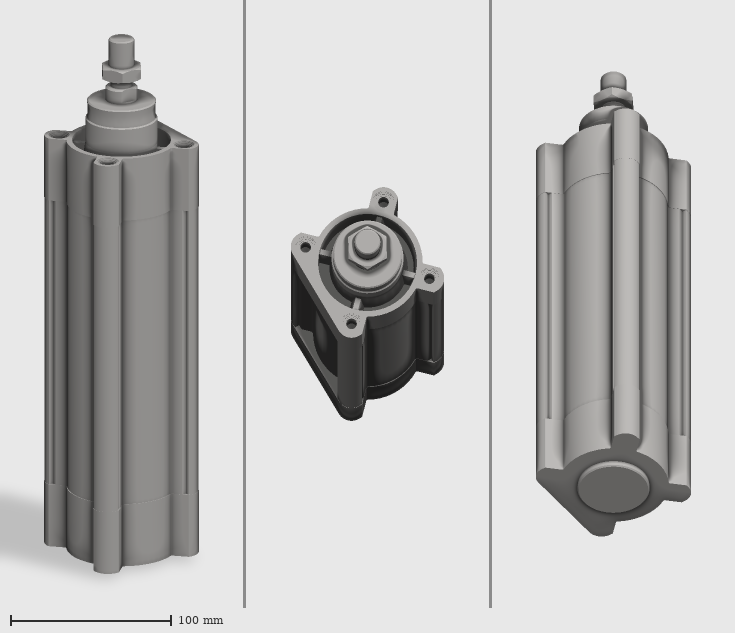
import cadquery as cq
import math

SPIGOT_HEIGHT = 4.0
OVERALL_HEIGHT = 343.1
ROD_TOP = OVERALL_HEIGHT - SPIGOT_HEIGHT
ROD_REACH = 67.6
HOUSING_TOP = ROD_TOP - ROD_REACH
CAP_HEIGHT = 41.2

WIDTH = 75.0
SCREW_SPACING = 56.5
SCREW_POS = SCREW_SPACING / 2
HALF_WIDTH = WIDTH / 2
LOBE_RADIUS = HALF_WIDTH - SCREW_POS
LOBE_HALF_WIDTH = 8.1
LOBE_EDGE_FILLET = 0.8
BARREL_INSET = 0.15
CAP_DIAMETER = 69.0
BARREL_DIAMETER = 68.0
CAP_NOTCH_FILLET = 1.0
BARREL_NOTCH_FILLET = 2.0
LEDGE_START = 26.0
LEDGE_DISTANCE = 34.3

COLLAR_DIAMETER = 45.0
COLLAR_HEIGHT = 14.8
NECK_DIAMETER = 43.2
NECK_WAIST = 0.45
NECK_TOP = 27.0
COLLAR_CHAMFER = 0.8

RECESS_DEPTH = 18.0
RECESS_TOP_RADIUS = 30.9
RECESS_FLOOR_RADIUS = 28.9
COLLAR_ROOT_RADIUS = 25.2
COLLAR_TAPER_START = 1.0
PORT_FLOOR_RADIUS = 30.3
PORT_ROOT_RADIUS = 23.8
RIB_TOP_DEPTH = 3.5
RIB_TOP_WIDTH = 3.4
RIB_ROOT_WIDTH = 8.5

SCREW_STEPS = ((13.2, 0.5), (12.0, 1.0), (10.0, 1.5), (8.0, 2.0), (6.65, 18.0))
DRILL_POINT_ANGLE = 118.0

ROD_DIAMETER = 20.0
THREAD_DIAMETER = 16.0
ROD_TIP_DIAMETER = 14.38
RUNOUT_DIAMETER = 14.95
UNDERCUT_DIAMETER = 13.9
THREAD_LENGTH = 26.4
RUNOUT_END = 27.0
UNDERCUT_START = 29.4
SHOULDER_DEPTH = 31.4
SHOULDER_CHAMFER = 1.0
FLATS_WIDTH = 17.0
FLATS_LENGTH = 8.3
ROD_INSERTION = CAP_HEIGHT

NUT_WIDTH = 24.0
NUT_HEIGHT = 8.0
NUT_TOP_DEPTH = 17.9
NUT_CHAMFER_ANGLE = 30.0
HEXAGON_HALF_ANGLE = 30.0


def cylinder(radius, bottom, top):
    return cq.Workplane("XY").workplane(offset=bottom).circle(radius).extrude(top - bottom)


def revolved(points):
    """Revolve a closed (radius, height) outline about the Z axis."""
    return cq.Workplane("XZ").polyline(points).close().revolve(360, (0, 0, 0), (0, 1, 0))


def cap_lobe(height):
    """Corner lobe of an end cap toward (+X, +Y), its sides parallel to the diagonal."""
    side_shift = LOBE_HALF_WIDTH * math.sqrt(2)
    arc_middle = SCREW_POS + LOBE_RADIUS / math.sqrt(2)
    edge = HALF_WIDTH - side_shift
    lobe = (
        cq.Workplane("XY")
        .lineTo(side_shift, 0)
        .lineTo(HALF_WIDTH, edge)
        .lineTo(HALF_WIDTH, SCREW_POS)
        .threePointArc((arc_middle, arc_middle), (SCREW_POS, HALF_WIDTH))
        .lineTo(edge, HALF_WIDTH)
        .lineTo(0, side_shift)
        .close().extrude(height)
    )
    for x, y in ((HALF_WIDTH, edge), (edge, HALF_WIDTH)):
        side_edge = cq.selectors.NearestToPointSelector((x, y, height / 2))
        lobe = lobe.edges(side_edge).fillet(LOBE_EDGE_FILLET)
    return lobe


def barrel_lobe(height):
    """Corner lobe of the barrel toward (+X, +Y), stepped in at both ends of its arc."""
    radius = LOBE_RADIUS - BARREL_INSET
    side_shift = (LOBE_HALF_WIDTH - BARREL_INSET) * math.sqrt(2)
    arc_middle = SCREW_POS + radius / math.sqrt(2)
    arc_end = SCREW_POS + math.sqrt(radius**2 - (SCREW_POS - LEDGE_START) ** 2)
    edge = LEDGE_DISTANCE - side_shift
    return (
        cq.Workplane("XY")
        .lineTo(side_shift, 0)
        .lineTo(LEDGE_DISTANCE, edge)
        .lineTo(LEDGE_DISTANCE, LEDGE_START)
        .lineTo(arc_end, LEDGE_START)
        .threePointArc((arc_middle, arc_middle), (LEDGE_START, arc_end))
        .lineTo(LEDGE_START, LEDGE_DISTANCE)
        .lineTo(edge, LEDGE_DISTANCE)
        .lineTo(0, side_shift)
        .close().extrude(height)
    )


def lobed_body(lobe, diameter, half_width, notch_fillet, height):
    """A round core with a lobe on each diagonal, filleted in the notches between them."""
    body = cylinder(diameter / 2, 0, height)
    for quarter in range(4):
        body = body.union(lobe.rotate((0, 0, 0), (0, 0, 1), 90 * quarter))
    spread = math.degrees(math.asin(half_width / (diameter / 2)))
    for quarter in range(4):
        for side in (-1, 1):
            angle = math.radians(45 + 90 * quarter + side * spread)
            notch = (diameter / 2 * math.cos(angle), diameter / 2 * math.sin(angle), height / 2)
            body = body.edges(cq.selectors.NearestToPointSelector(notch)).fillet(notch_fillet)
    return body


def make_barrel():
    height = HOUSING_TOP - 2 * CAP_HEIGHT
    half_width = LOBE_HALF_WIDTH - BARREL_INSET
    barrel = lobed_body(barrel_lobe(height), BARREL_DIAMETER, half_width, BARREL_NOTCH_FILLET, height)
    return barrel.translate((0, 0, CAP_HEIGHT))


def end_cap(bottom):
    """End cap with the +Y side filled out flat between its lobes."""
    cap = lobed_body(cap_lobe(CAP_HEIGHT), CAP_DIAMETER, LOBE_HALF_WIDTH, CAP_NOTCH_FILLET, CAP_HEIGHT)
    flat_side = (
        cq.Workplane("XY")
        .polyline([(0, 0), (SCREW_POS, SCREW_POS), (SCREW_POS, HALF_WIDTH),
                   (-SCREW_POS, HALF_WIDTH), (-SCREW_POS, SCREW_POS)])
        .close().extrude(CAP_HEIGHT)
    )
    return cap.union(flat_side).translate((0, 0, bottom))


def tapered_ring(floor_radius, root_radius):
    """Ring around the collar whose walls lean toward each other down to the recess floor."""
    floor = HOUSING_TOP - RECESS_DEPTH
    collar_radius = COLLAR_DIAMETER / 2
    return revolved([
        (collar_radius, HOUSING_TOP), (RECESS_TOP_RADIUS, HOUSING_TOP),
        (floor_radius, floor), (root_radius, floor),
        (collar_radius, HOUSING_TOP - COLLAR_TAPER_START),
    ])


def recess():
    """Material to remove around the collar, leaving four ribs on the diagonals."""
    floor = HOUSING_TOP - RECESS_DEPTH
    rib_top = HOUSING_TOP - RIB_TOP_DEPTH
    port_quarter = (
        cq.Workplane("XY").workplane(offset=floor)
        .polyline([(0, 0), (HALF_WIDTH, HALF_WIDTH), (-HALF_WIDTH, HALF_WIDTH)])
        .close().extrude(RECESS_DEPTH)
    )
    port = tapered_ring(PORT_FLOOR_RADIUS, PORT_ROOT_RADIUS).intersect(port_quarter)
    ring = tapered_ring(RECESS_FLOOR_RADIUS, COLLAR_ROOT_RADIUS).union(port)
    rib = (
        cq.Workplane("XZ")
        .polyline([
            (-RIB_ROOT_WIDTH / 2, floor), (RIB_ROOT_WIDTH / 2, floor),
            (RIB_TOP_WIDTH / 2, rib_top), (-RIB_TOP_WIDTH / 2, rib_top),
        ])
        .close().extrude(HALF_WIDTH)
    )
    for quarter in range(4):
        ring = ring.cut(rib.rotate((0, 0, 0), (0, 0, 1), 45 + 90 * quarter))
    return ring


def collar():
    """Bearing collar: a plain lower part under a slightly waisted neck."""
    top = HOUSING_TOP + NECK_TOP
    step = HOUSING_TOP + COLLAR_HEIGHT
    neck_radius = NECK_DIAMETER / 2
    arc_top = top - COLLAR_CHAMFER
    return (
        cq.Workplane("XZ")
        .moveTo(0, HOUSING_TOP - COLLAR_TAPER_START)
        .lineTo(COLLAR_DIAMETER / 2, HOUSING_TOP - COLLAR_TAPER_START)
        .lineTo(COLLAR_DIAMETER / 2, step)
        .lineTo(neck_radius, step + COLLAR_CHAMFER)
        .threePointArc((neck_radius - NECK_WAIST, (step + top) / 2), (neck_radius, arc_top))
        .lineTo(neck_radius - COLLAR_CHAMFER, top)
        .lineTo(0, top)
        .close().revolve(360, (0, 0, 0), (0, 1, 0))
    )


def screw_recess():
    """Stepped hole with a drill point, its mouth at Z = 0."""
    points = [(0, 0)]
    start = 0
    for diameter, depth in SCREW_STEPS:
        points += [(diameter / 2, -start), (diameter / 2, -depth)]
        start = depth
    tip_radius = SCREW_STEPS[-1][0] / 2
    points.append((0, -start - tip_radius / math.tan(math.radians(DRILL_POINT_ANGLE / 2))))
    return revolved(points)


def make_housing():
    upper_cap_bottom = HOUSING_TOP - CAP_HEIGHT
    body = make_barrel().union(end_cap(0)).union(end_cap(upper_cap_bottom))
    spigot = cylinder(COLLAR_DIAMETER / 2, -SPIGOT_HEIGHT, 0).faces("<Z").chamfer(COLLAR_CHAMFER)
    body = body.union(spigot).cut(recess()).union(collar())
    hole = screw_recess()
    for x in (-SCREW_POS, SCREW_POS):
        for y in (-SCREW_POS, SCREW_POS):
            body = body.cut(hole.translate((x, y, HOUSING_TOP)))
    return body.cut(cylinder(ROD_DIAMETER / 2, HOUSING_TOP - ROD_INSERTION, ROD_TOP))


def make_rod():
    shoulder = ROD_TOP - SHOULDER_DEPTH
    tip_chamfer = (THREAD_DIAMETER - ROD_TIP_DIAMETER) / 2
    end = HOUSING_TOP - ROD_INSERTION
    rod = revolved([
        (0, ROD_TOP), (ROD_TIP_DIAMETER / 2, ROD_TOP),
        (THREAD_DIAMETER / 2, ROD_TOP - tip_chamfer),
        (THREAD_DIAMETER / 2, ROD_TOP - THREAD_LENGTH),
        (RUNOUT_DIAMETER / 2, ROD_TOP - RUNOUT_END),
        (UNDERCUT_DIAMETER / 2, ROD_TOP - UNDERCUT_START),
        (UNDERCUT_DIAMETER / 2, shoulder),
        (ROD_DIAMETER / 2 - SHOULDER_CHAMFER, shoulder),
        (ROD_DIAMETER / 2, shoulder - SHOULDER_CHAMFER),
        (ROD_DIAMETER / 2, end), (0, end),
    ])
    for side in (-1, 1):
        cutter = cq.Workplane("XY").box(ROD_DIAMETER, ROD_DIAMETER, FLATS_LENGTH)
        offset = side * (FLATS_WIDTH + ROD_DIAMETER) / 2
        rod = rod.cut(cutter.translate((offset, 0, shoulder - FLATS_LENGTH / 2)))
    return rod


def make_nut():
    top = ROD_TOP - NUT_TOP_DEPTH
    bottom = top - NUT_HEIGHT
    across_corners = NUT_WIDTH / math.cos(math.radians(HEXAGON_HALF_ANGLE))
    drop = (across_corners - NUT_WIDTH) / 2 * math.tan(math.radians(NUT_CHAMFER_ANGLE))
    hexagon = (
        cq.Workplane("XY").workplane(offset=bottom)
        .polygon(6, across_corners).extrude(NUT_HEIGHT)
        .rotate((0, 0, 0), (0, 0, 1), 90)
    )
    chamfer_envelope = revolved([
        (0, bottom), (NUT_WIDTH / 2, bottom), (across_corners / 2, bottom + drop),
        (across_corners / 2, top - drop), (NUT_WIDTH / 2, top), (0, top),
    ])
    bore = cylinder(THREAD_DIAMETER / 2, bottom, top)
    return hexagon.intersect(chamfer_envelope).cut(bore)


housing = make_housing()
rod = make_rod()
nut = make_nut()
result = cq.Compound.makeCompound([housing.val(), rod.val(), nut.val()])